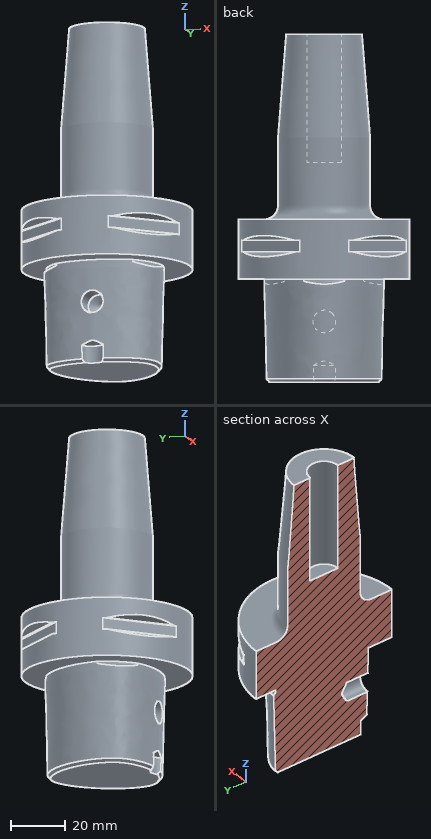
import cadquery as cq
import math


flange_diameter = 63.0
flange_height = 22.0
nose_length = 90.0
nose_cylinder_diameter = 34.0
nose_tip_diameter = 28.0
nose_taper_length = 38.0
nose_root_radius = 5.0
bore_diameter = 12.7
bore_depth = 47.0

pocket_count = 4
pocket_first_angle = 45.0
pocket_floor_distance = 27.7
pocket_floor_height = 4.3
pocket_wall_distance = 28.5
pocket_wall_angle = 30.0
pocket_centre_z = 12.1

shank_length = 38.0
shank_straight_length = 3.0
shank_mean_radius = 22.05
lobe_height = 1.4
lobe_count = 3
outline_spans = 120
lobe_angle = math.radians(90.0)
shank_taper = 1 / 40
shank_chamfer_height = 1.3
shank_chamfer_width = 1.2

relief_radius = 22.4
relief_depth = 0.4
relief_corner_radius = 1.0
relief_clearance = 1.0

drill_point_angle = 120.0
side_hole_diameter = 8.3
side_hole_z = -15.5
side_hole_depth = 10.0
notch_diameter = 9.0
notch_axis_distance = 21.6
notch_height = 6.3

shank_end_z = -shank_length
flat_distance = shank_mean_radius - lobe_height


def make_flange_and_nose():
    """Revolve the flange and nose, with a concave fillet where they meet."""
    flange_radius = flange_diameter / 2
    nose_radius = nose_cylinder_diameter / 2
    fillet_end_radius = nose_radius + nose_root_radius
    fillet_top_z = flange_height + nose_root_radius
    fillet_reach = nose_root_radius * math.sqrt(0.5)
    profile = (
        cq.Workplane("XZ")
        .lineTo(flange_radius, 0)
        .lineTo(flange_radius, flange_height)
        .lineTo(fillet_end_radius, flange_height)
        .threePointArc(
            (fillet_end_radius - fillet_reach, fillet_top_z - fillet_reach),
            (nose_radius, fillet_top_z),
        )
        .lineTo(nose_radius, nose_length - nose_taper_length)
        .lineTo(nose_tip_diameter / 2, nose_length)
        .lineTo(0, nose_length)
        .close()
    )
    return profile.revolve(360, (0, 0, 0), (0, 1, 0))


def make_bore():
    """Blind tool bore, open at the nose tip."""
    return (
        cq.Workplane("XY", origin=(0, 0, nose_length - bore_depth))
        .circle(bore_diameter / 2)
        .extrude(bore_depth)
    )


def make_gripper_pockets():
    """Flat-floored pockets whose straight walls open into slopes, spaced evenly around the flange."""
    pocket_clearance = 1.0
    outer_distance = flange_diameter / 2 + pocket_clearance
    wall_rise = (outer_distance - pocket_wall_distance) * math.tan(math.radians(pocket_wall_angle))
    floor_half = pocket_floor_height / 2
    mouth_half = floor_half + wall_rise
    pocket = (
        cq.Workplane("XZ", origin=(0, 0, pocket_centre_z))
        .moveTo(pocket_floor_distance, -floor_half)
        .lineTo(pocket_wall_distance, -floor_half)
        .lineTo(outer_distance, -mouth_half)
        .lineTo(outer_distance, mouth_half)
        .lineTo(pocket_wall_distance, floor_half)
        .lineTo(pocket_floor_distance, floor_half)
        .close()
        .extrude(flange_diameter / 2, both=True)
    )
    pockets = []
    for index in range(pocket_count):
        angle = pocket_first_angle + index * 360 / pocket_count
        pockets.append(pocket.rotate((0, 0, 0), (0, 0, 1), angle))
    return pockets


def polygon_point(mean_radius, angle):
    """Point on the three-lobed outline whose outward normal has the given angle."""
    phase = lobe_count * (angle - lobe_angle)
    support = mean_radius + lobe_height * math.cos(phase)
    slope = -lobe_count * lobe_height * math.sin(phase)
    x = support * math.cos(angle) - slope * math.sin(angle)
    y = support * math.sin(angle) + slope * math.cos(angle)
    return x, y


def polygon_section(mean_radius, z):
    """Closed three-lobed wire with its seam in the middle of the -Y flat."""
    return (
        cq.Workplane("XY", origin=(0, 0, z))
        .parametricCurve(
            lambda t: polygon_point(mean_radius, 2 * math.pi * t - math.pi / 2),
            N=outline_spans,
        )
        .val()
    )


def make_shank():
    """Straight collar, tapered length and end chamfer, all with three-lobed sections."""
    chamfer_z = shank_end_z + shank_chamfer_height
    taper_length = shank_length - shank_straight_length - shank_chamfer_height
    small_radius = shank_mean_radius - taper_length * shank_taper
    sections = [
        polygon_section(shank_mean_radius, 0),
        polygon_section(shank_mean_radius, -shank_straight_length),
        polygon_section(small_radius, chamfer_z),
        polygon_section(small_radius - shank_chamfer_width, shank_end_z),
    ]
    return cq.Workplane(cq.Solid.makeLoft(sections, True))


def make_lobe_relief():
    """Ring that trims the lobe tips below the flange and runs out at 45 degrees."""
    runout_angle = math.radians(45.0)

    def corner_point(angle):
        radius = relief_radius + relief_corner_radius * (1 - math.cos(angle))
        return radius, -relief_depth - relief_corner_radius * math.sin(angle)

    corner_end_radius, corner_end_z = corner_point(runout_angle)
    outer_radius = shank_mean_radius + lobe_height + relief_clearance
    outer_z = corner_end_z - (outer_radius - corner_end_radius) * math.tan(runout_angle)
    return (
        cq.Workplane("XZ")
        .moveTo(relief_radius, 0)
        .lineTo(relief_radius, -relief_depth)
        .threePointArc(corner_point(runout_angle / 2), (corner_end_radius, corner_end_z))
        .lineTo(outer_radius, outer_z)
        .lineTo(outer_radius, 0)
        .close()
        .revolve(360, (0, 0, 0), (0, 1, 0))
    )


def make_drill(diameter, start, direction, depth):
    """Drill-shaped cutter: a cylinder of the given depth followed by its conical point."""
    radius = diameter / 2
    point_length = radius / math.tan(math.radians(drill_point_angle / 2))
    axis = cq.Vector(*direction)
    base = cq.Vector(*start)
    body = cq.Solid.makeCylinder(radius, depth, base, axis)
    point = cq.Solid.makeCone(radius, 0, point_length, base + axis * depth, axis)
    return cq.Workplane(body.fuse(point))


def make_side_hole():
    """Blind radial hole in the -Y flat."""
    clearance = 2.0
    start = (0, -flat_distance - clearance, side_hole_z)
    return make_drill(side_hole_diameter, start, (0, 1, 0), side_hole_depth + clearance)


def make_end_notch():
    """Axial drilled notch in the -Y flat, open at the shank end."""
    start = (0, -notch_axis_distance, shank_end_z)
    return make_drill(notch_diameter, start, (0, 0, 1), notch_height)


head = make_flange_and_nose().cut(make_bore())
for gripper_pocket in make_gripper_pockets():
    head = head.cut(gripper_pocket)

shank = make_shank().cut(make_lobe_relief())
shank = shank.cut(make_side_hole())
shank = shank.cut(make_end_notch())

result = head.union(shank)